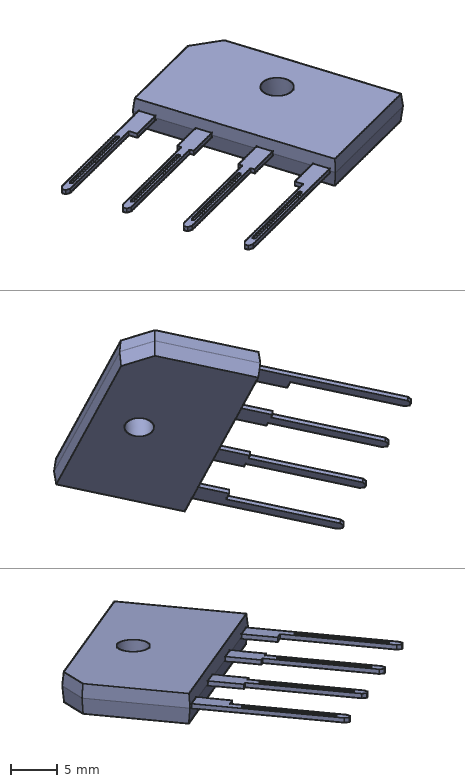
import cadquery as cq
import math


body_width = 25.0
body_length = 15.0
upper_height = 1.6
lower_height = 1.92
corner_cut = 3.0
draft_slope = 0.1

hole_y = 9.55
hole_top_diameter = 3.6
hole_bottom_diameter = 3.2

overall_length = 32.5
lead_length = overall_length - body_length
lead_pitch = 7.5
lead_count = 4
lead_width = 1.05
lead_thickness = 0.55
lead_top = 0.23
shoulder_width = 2.0
outer_shoulder_width = 2.08
shoulder_length = 4.0
embed_depth = 0.32
tip_chamfer_width = 0.3
tip_chamfer_length = 0.5

groove_width = 0.4
groove_length = 10.55
groove_start = 5.43
groove_depth = 0.15


def make_housing_half(height):
    """Half of the housing above the parting plane, its walls leaning inward toward the top."""
    half_width = body_width / 2
    draft_angle = math.degrees(math.atan(draft_slope))
    return (
        cq.Workplane("XY")
        .moveTo(-half_width, 0)
        .lineTo(half_width, 0)
        .lineTo(half_width, body_length)
        .lineTo(-half_width + corner_cut, body_length)
        .lineTo(-half_width, body_length - corner_cut)
        .close()
        .extrude(height, taper=draft_angle)
    )


def make_mounting_hole():
    """Cutting cone for the through hole."""
    return (
        cq.Workplane("XZ", origin=(0, hole_y, 0))
        .moveTo(0, -lower_height)
        .lineTo(hole_bottom_diameter / 2, -lower_height)
        .lineTo(hole_top_diameter / 2, upper_height)
        .lineTo(0, upper_height)
        .close()
        .revolve(360, (0, 0), (0, 1))
    )


def make_housing(leads):
    """Two drafted halves joined at the parting plane, with the hole and a pocket for each lead root."""
    lower_half = make_housing_half(lower_height).mirror("XY")
    housing = make_housing_half(upper_height).union(lower_half)
    housing = housing.cut(make_mounting_hole())
    for lead in leads:
        housing = housing.cut(lead)
    return housing


def make_lead(x, left_shoulder, right_shoulder):
    """Lead centred on x; its wide root reaches left_shoulder and right_shoulder to either side."""
    half_width = lead_width / 2
    half_tip = half_width - tip_chamfer_width
    chamfer_y = -lead_length + tip_chamfer_length
    shank = (
        cq.Workplane("XY", origin=(x, 0, lead_top))
        .moveTo(-half_width, embed_depth)
        .lineTo(-half_width, chamfer_y)
        .lineTo(-half_tip, -lead_length)
        .lineTo(half_tip, -lead_length)
        .lineTo(half_width, chamfer_y)
        .lineTo(half_width, embed_depth)
        .close()
        .extrude(-lead_thickness)
    )
    shoulder = (
        cq.Workplane("XY", origin=(x, 0, lead_top))
        .moveTo(-left_shoulder, embed_depth)
        .lineTo(-left_shoulder, -shoulder_length)
        .lineTo(right_shoulder, -shoulder_length)
        .lineTo(right_shoulder, embed_depth)
        .close()
        .extrude(-lead_thickness)
    )
    groove = (
        cq.Workplane("XY", origin=(x, -groove_start - groove_length / 2, lead_top))
        .slot2D(groove_length, groove_width, 90)
        .extrude(-groove_depth)
    )
    return shank.union(shoulder).cut(groove)


def make_leads():
    """Row of leads; the end leads widen only toward the middle of the row."""
    leads = []
    for i in range(lead_count):
        left_shoulder = shoulder_width / 2
        right_shoulder = shoulder_width / 2
        if i == 0:
            left_shoulder = lead_width / 2
            right_shoulder = outer_shoulder_width - left_shoulder
        elif i == lead_count - 1:
            right_shoulder = lead_width / 2
            left_shoulder = outer_shoulder_width - right_shoulder
        x = (i - (lead_count - 1) / 2) * lead_pitch
        leads.append(make_lead(x, left_shoulder, right_shoulder))
    return leads


leads = make_leads()
housing = make_housing(leads)

result = cq.Compound.makeCompound([housing.val(), *[lead.val() for lead in leads]])